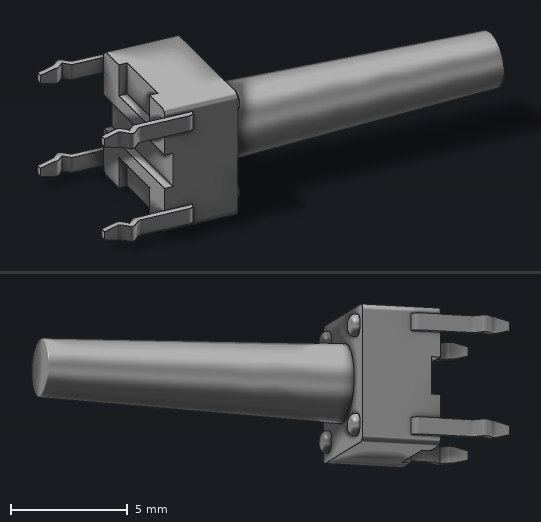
import cadquery as cq
import math

overall_length = 20.0
overall_width = 7.32

body_side = 6.0
body_depth = 3.48
body_corner_radius = 0.3

recess_depth = 0.4
groove_height = 1.62
pocket_width = 3.0
pocket_height = 1.5

stem_base_radius = 1.72
stem_tip_radius = 1.28
stem_edge_radius = 0.1

boss_radius = 0.48
boss_height = 0.35
boss_edge_radius = 0.25
boss_offset = 2.15

pin_thickness = 0.3
pin_width = 0.75
pin_offset = 2.25
pin_top = 1.32
pin_length = 3.0
pin_tip_width = 0.4
pin_taper_start = -2.32
kink_center = -1.82
kink_radius = 0.2
inner_bend_radius = 0.2
outer_bend_radius = 0.3

half_side = body_side / 2
stem_tip = overall_length - pin_length


def make_body():
    body = cq.Workplane("XY").box(body_side, body_depth, body_side, centered=(True, False, True))
    body = body.edges("|Y").fillet(body_corner_radius)
    groove = cq.Workplane("XY").box(
        body_side, recess_depth, groove_height, centered=(True, False, True)
    )
    body = body.cut(groove)
    pocket_center = half_side - pocket_height / 2
    for side in (-1, 1):
        pocket = cq.Workplane("XY").box(
            pocket_width, recess_depth, pocket_height, centered=(True, False, True)
        )
        body = body.cut(pocket.translate((0, 0, side * pocket_center)))
    return body


def make_stem():
    profile = [
        (0, body_depth),
        (stem_base_radius, body_depth),
        (stem_tip_radius, stem_tip),
        (0, stem_tip),
    ]
    stem = cq.Workplane("XY").polyline(profile).close()
    stem = stem.revolve(360, (0, 0, 0), (0, 1, 0))
    return stem.faces(">Y").edges().fillet(stem_edge_radius)


def make_boss(x, z):
    base = cq.Plane(origin=(x, body_depth, z), xDir=(1, 0, 0), normal=(0, 1, 0))
    boss = cq.Workplane(base).circle(boss_radius).extrude(boss_height)
    return boss.faces(">Y").edges().fillet(boss_edge_radius)


def make_pin():
    """Pin on the +X side, centred on z = 0, with a 45 degree outward kink."""
    inner = half_side
    outer = half_side + pin_thickness
    kink_outer = overall_width / 2 + kink_radius * (math.sqrt(2) - 1)
    kink_inner = kink_outer - pin_thickness * math.sqrt(2)
    outer_reach = kink_outer - outer
    inner_reach = kink_inner - inner

    inner_bends = [(inner, kink_center + inner_reach), (inner, kink_center - inner_reach)]
    outer_bends = [(outer, kink_center - outer_reach), (outer, kink_center + outer_reach)]
    kink_corner = (kink_outer, kink_center)
    outline = [
        (inner, pin_top),
        inner_bends[0],
        (kink_inner, kink_center),
        inner_bends[1],
        (inner, -pin_length),
        (outer, -pin_length),
        outer_bends[0],
        kink_corner,
        outer_bends[1],
        (outer, pin_top),
    ]
    pin = cq.Workplane("XY").polyline(outline).close().extrude(pin_width / 2, both=True)

    rounded_bends = [
        (inner_bends, inner_bend_radius),
        (outer_bends, outer_bend_radius),
        ([kink_corner], kink_radius),
    ]
    for corners, radius in rounded_bends:
        for x, y in corners:
            pin = pin.edges(cq.selectors.NearestToPointSelector((x, y, 0))).fillet(radius)

    quarter_round = (
        cq.Workplane("XY")
        .moveTo(inner, pin_top)
        .radiusArc((outer, pin_top - pin_thickness), pin_thickness)
        .lineTo(outer, pin_top)
        .close()
        .extrude(pin_width / 2, both=True)
    )
    pin = pin.cut(quarter_round)

    for side in (-1, 1):
        flank = (
            cq.Workplane("YZ", origin=(inner, 0, 0))
            .moveTo(pin_taper_start, side * pin_width / 2)
            .lineTo(-pin_length, side * pin_tip_width / 2)
            .lineTo(-pin_length, side * pin_width / 2)
            .close()
            .extrude(pin_thickness)
        )
        pin = pin.cut(flank)
    return pin


result = make_body().union(make_stem())

for x_side in (-1, 1):
    for z_side in (-1, 1):
        result = result.union(make_boss(x_side * boss_offset, z_side * boss_offset))

right_pin = make_pin()
left_pin = right_pin.mirror("YZ")
for pin in (left_pin, right_pin):
    for z_side in (-1, 1):
        result = result.union(pin.translate((0, 0, z_side * pin_offset)))